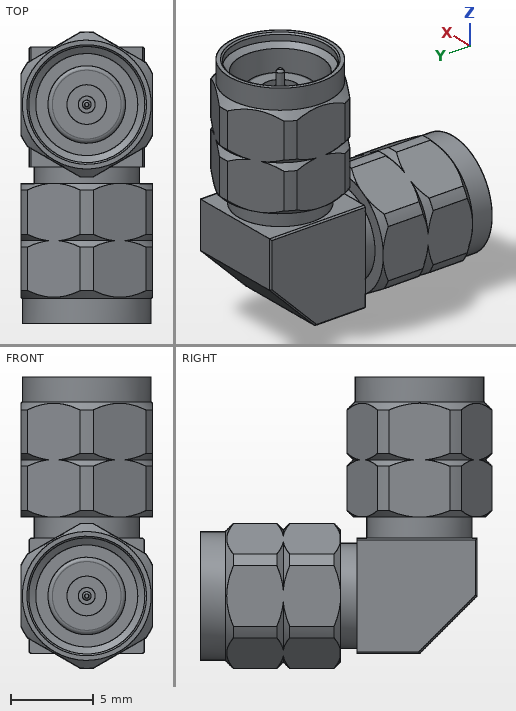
import cadquery as cq
import math


block_half = 3.5
block_front = 3.8
block_edge_chamfer = 0.1

neck_radius = 3.2
sleeve_radius = 2.35
sleeve_fillet = 0.27
sleeve_bore_radius = 1.2

nut_across_flats = 8.0
nut_corner_radius = 4.4
nut_rear = 4.8
nut_groove = 8.27
nut_shoulder = 11.79
nut_front = 13.3
groove_radius = 4.02
collar_radius = 3.91
nut_bore_radius = 3.1
mouth_radius = 3.52
mouth_depth = 0.55
mouth_taper_end = 0.85
lip_chamfer = 0.1

sleeve_face = nut_front - 2.0
pin_shank_radius = 0.51
pin_radius = 0.27
pin_end_radius = 0.12
pin_taper_length = 0.18
pin_end = nut_front - 0.65


def cylinder(radius, start, end):
    """Cylinder about the Z axis between two heights."""
    return cq.Workplane("XY").workplane(offset=start).circle(radius).extrude(end - start)


def revolve_about_z(profile_points):
    """Solid of revolution from a closed outline of (radius, height) points."""
    return cq.Workplane("XZ").polyline(profile_points).close().revolve(360, (0, 0, 0), (0, 1, 0))


def to_horizontal(part):
    """Swing a part built along +Z so that it points along -Y."""
    return part.rotate((0, 0, 0), (1, 0, 0), 90)


def make_block():
    """Square block with its outer corner cut off through both arm axes."""
    outline = [
        (-block_front, -block_half),
        (0, -block_half),
        (block_half, 0),
        (block_half, block_half),
        (-block_front, block_half),
    ]
    block = (
        cq.Workplane("YZ").workplane(offset=-block_half)
        .polyline(outline).close().extrude(2 * block_half)
    )
    side_edges = block.faces("<X or >X").edges("not(<Y)")
    return side_edges.chamfer(block_edge_chamfer)


def make_arm(start):
    """Neck and sleeve of one arm; the neck ends at the rear of the nut."""
    neck = cylinder(neck_radius, start, nut_rear)
    sleeve = cylinder(sleeve_radius, nut_rear, sleeve_face).faces(">Z").edges().fillet(sleeve_fillet)
    bore = cylinder(sleeve_bore_radius, nut_rear, sleeve_face)
    return neck.union(sleeve.cut(bore))


def make_elbow():
    vertical_arm = make_arm(block_half)
    horizontal_arm = to_horizontal(make_arm(block_front))
    return make_block().union(vertical_arm).union(horizontal_arm)


def make_nut():
    """Double hexagon nut with 45 degree corner chamfers and a plain front collar."""
    corner_diameter = nut_across_flats / math.cos(math.pi / 6)
    hexagon = (
        cq.Workplane("XY").workplane(offset=nut_rear)
        .transformed(rotate=(0, 0, 90))
        .polygon(6, corner_diameter).extrude(nut_shoulder - nut_rear)
    )
    groove_depth = nut_corner_radius - groove_radius
    shoulder_chamfer = nut_corner_radius - collar_radius
    turned_envelope = revolve_about_z([
        (0, nut_rear),
        (groove_radius, nut_rear),
        (nut_corner_radius, nut_rear + groove_depth),
        (nut_corner_radius, nut_groove - groove_depth),
        (groove_radius, nut_groove),
        (nut_corner_radius, nut_groove + groove_depth),
        (nut_corner_radius, nut_shoulder - shoulder_chamfer),
        (collar_radius, nut_shoulder),
        (0, nut_shoulder),
    ])
    collar = cylinder(collar_radius, nut_shoulder, nut_front)
    opening = revolve_about_z([
        (0, nut_rear),
        (nut_bore_radius, nut_rear),
        (nut_bore_radius, nut_front - mouth_taper_end),
        (mouth_radius, nut_front - mouth_depth),
        (mouth_radius, nut_front - lip_chamfer),
        (mouth_radius + lip_chamfer, nut_front),
        (0, nut_front),
    ])
    return hexagon.intersect(turned_envelope).union(collar).cut(opening)


def make_pin():
    """Stepped pin with a tapered tip, standing on the floor of the sleeve bore."""
    return revolve_about_z([
        (0, nut_rear),
        (pin_shank_radius, nut_rear),
        (pin_shank_radius, sleeve_face),
        (pin_radius, sleeve_face),
        (pin_radius, pin_end - pin_taper_length),
        (pin_end_radius, pin_end),
        (0, pin_end),
    ])


bodies = [make_elbow().val()]
for make_part in (make_nut, make_pin):
    vertical_part = make_part()
    bodies.append(vertical_part.val())
    bodies.append(to_horizontal(vertical_part).val())

result = cq.Compound.makeCompound(bodies)